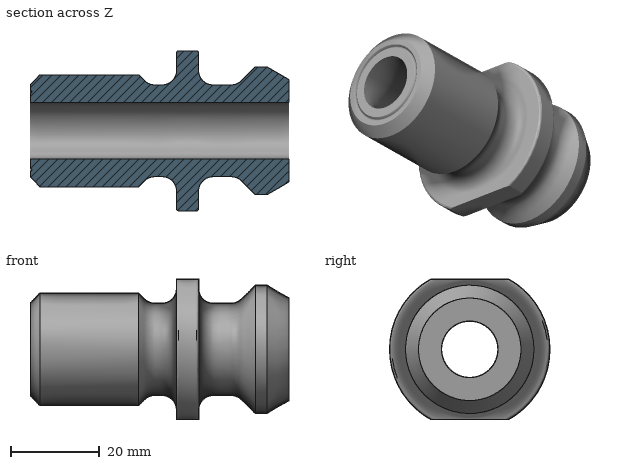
import cadquery as cq
import math

length = 58.4
shank_end = 24.4
flange_start = 32.95
flange_width = 5.1
flange_end = flange_start + flange_width
rim_start = 50.75
rim_end = 53.4

shank_radius = 25.4 / 2
neck_radius = 20.85 / 2
flange_radius = 36.2 / 2
rim_radius = 29.0 / 2
tip_radius = 11.55
bore_radius = 12.7 / 2

shank_chamfer = 2.3
shank_chamfer_length = 2.15
neck_fillet = 3.15
flange_rounding = 0.5
flat_to_flat = 31.7

groove_radius = 8.8
groove_depth = 0.4
groove_half_width = 0.4

half_sine = math.sin(math.radians(22.5))
half_cosine = math.cos(math.radians(22.5))
diagonal = math.sqrt(0.5)
blend_length = neck_fillet * diagonal
blend_radius = neck_radius + neck_fillet * (1 - diagonal)
blend_mid_radius = neck_radius + neck_fillet * (1 - half_cosine)
blend_mid_length = neck_fillet * half_sine
fillet_top_radius = neck_radius + neck_fillet

front_blend_start = shank_end + shank_radius - blend_radius
front_blend_end = front_blend_start + blend_length
rear_blend_end = rim_start - (rim_radius - blend_radius)
rear_blend_start = rear_blend_end - blend_length


def make_body():
    """Revolve the outer half profile about the X axis."""
    profile = (
        cq.Workplane("XY")
        .moveTo(0, 0)
        .lineTo(0, shank_radius - shank_chamfer)
        .lineTo(shank_chamfer_length, shank_radius)
        .lineTo(shank_end, shank_radius)
        .lineTo(front_blend_start, blend_radius)
        .threePointArc(
            (front_blend_end - blend_mid_length, blend_mid_radius),
            (front_blend_end, neck_radius),
        )
        .lineTo(flange_start - neck_fillet, neck_radius)
        .threePointArc(
            (flange_start - neck_fillet + blend_length, blend_radius),
            (flange_start, fillet_top_radius),
        )
        .lineTo(flange_start, flange_radius - flange_rounding)
        .radiusArc((flange_start + flange_rounding, flange_radius), flange_rounding)
        .lineTo(flange_end - flange_rounding, flange_radius)
        .radiusArc((flange_end, flange_radius - flange_rounding), flange_rounding)
        .lineTo(flange_end, fillet_top_radius)
        .threePointArc(
            (flange_end + neck_fillet - blend_length, blend_radius),
            (flange_end + neck_fillet, neck_radius),
        )
        .lineTo(rear_blend_start, neck_radius)
        .threePointArc(
            (rear_blend_start + blend_mid_length, blend_mid_radius),
            (rear_blend_end, blend_radius),
        )
        .lineTo(rim_start, rim_radius)
        .lineTo(rim_end, rim_radius)
        .lineTo(length, tip_radius)
        .lineTo(length, 0)
        .close()
    )
    return profile.revolve(360, (0, 0, 0), (1, 0, 0))


def make_flats_envelope():
    """Slab that leaves two flats on the flange, facing +Z and -Z."""
    return cq.Workplane("XY").box(
        length, 2 * flange_radius, flat_to_flat, centered=(False, True, True)
    )


def make_bore():
    """Through bore along the X axis."""
    return cq.Workplane("YZ").circle(bore_radius).extrude(length)


def make_face_groove():
    """Ring with a triangular section, open at the shank face."""
    section = (
        cq.Workplane("XY")
        .moveTo(0, groove_radius - groove_half_width)
        .lineTo(groove_depth, groove_radius)
        .lineTo(0, groove_radius + groove_half_width)
        .close()
    )
    return section.revolve(360, (0, 0, 0), (1, 0, 0))


flatted_body = make_body().intersect(make_flats_envelope())
result = flatted_body.cut(make_bore()).cut(make_face_groove())